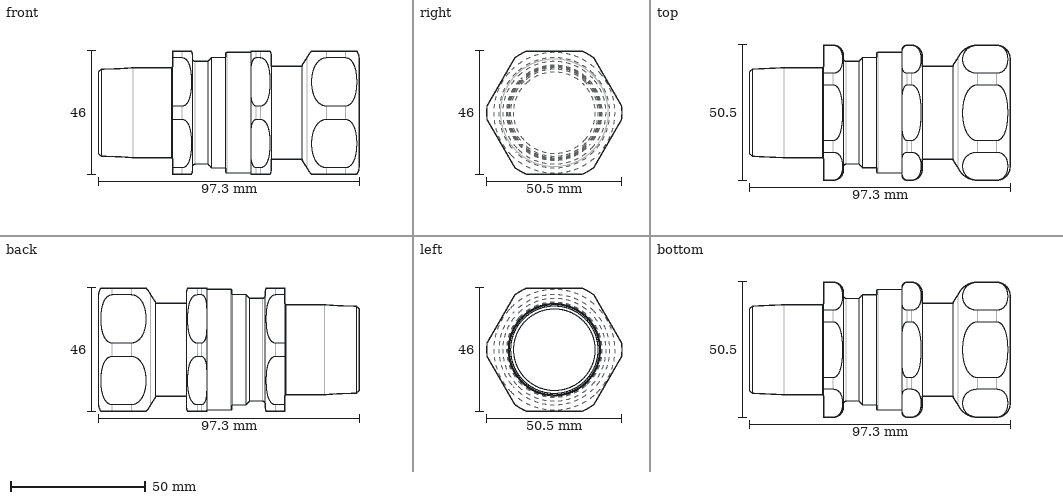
import cadquery as cq
import math


ACROSS_FLATS = 46.0
CORNER_RADIUS = 50.5 / 2

ENTRY_HEX_START = 27.7
COUPLING_START = 47.5
COUPLING_HEX_START = 56.8
SLEEVE_START = 64.5
CAP_START = 76.0
TOTAL_LENGTH = 97.25

SPIGOT_RADIUS = 33.6 / 2
SPIGOT_TIP_RADIUS = 32.6 / 2
TIP_CHAMFER = 1.1
TAPER_LENGTH = 12.9
FLARE_LENGTH = 0.5
FLARE_RADIUS = 17.2

ENTRY_HEX_LENGTH = 7.4
ENTRY_HEX_ROUND = 3.9
NECK_RADIUS = 38.4 / 2
NECK_FILLET = 1.0
NECK_END = 40.8
COLLAR_RADIUS = 41.2 / 2
COLLAR_CHAMFER = COLLAR_RADIUS - NECK_RADIUS

COUPLING_RADIUS = 45.1 / 2
COUPLING_EDGE_ROUND = 0.5
COUPLING_HEX_FRONT_ROUND = 2.0
COUPLING_HEX_BACK_ROUND = 4.1

SLEEVE_RADIUS = 34.8 / 2

CAP_FACE_RADIUS = 17.8
CAP_DOME_RADIUS = 8.0
CAP_DOME_SWEEP = math.radians(65)
CAP_CREST_START = 85.0
CAP_BACK_ROUND = 5.2


def revolve_x(profile):
    """Close an (axial, radial) profile and spin it about the X axis."""
    return profile.close().revolve(360, (0, 0, 0), (1, 0, 0))


def hexagon(start, end):
    """Hexagonal prism along X with two flats facing up and down."""
    across_corners = ACROSS_FLATS / math.cos(math.pi / 6)
    return (
        cq.Workplane("YZ")
        .workplane(offset=start)
        .polygon(6, across_corners)
        .extrude(end - start)
    )


def quarter_up(profile, x, radius, size):
    """Convex quarter round rising from a front face at x to the given radius."""
    diagonal = size * math.sqrt(0.5)
    middle = (x + size - diagonal, radius - size + diagonal)
    return profile.lineTo(x, radius - size).threePointArc(middle, (x + size, radius))


def quarter_down(profile, x, radius, size):
    """Convex quarter round falling from the given radius to a back face at x."""
    diagonal = size * math.sqrt(0.5)
    middle = (x - size + diagonal, radius - size + diagonal)
    return profile.lineTo(x - size, radius).threePointArc(middle, (x, radius - size))


def make_spigot():
    """Plain entry end: chamfered tip, slight taper, cylinder and a small flare."""
    profile = (
        cq.Workplane("XY")
        .lineTo(0, SPIGOT_TIP_RADIUS - TIP_CHAMFER)
        .lineTo(TIP_CHAMFER, SPIGOT_TIP_RADIUS)
        .lineTo(TAPER_LENGTH, SPIGOT_RADIUS)
        .lineTo(ENTRY_HEX_START - FLARE_LENGTH, SPIGOT_RADIUS)
        .lineTo(ENTRY_HEX_START, FLARE_RADIUS)
        .lineTo(ENTRY_HEX_START, 0)
    )
    return revolve_x(profile)


def make_entry_body():
    """Hexagon rounded on its back, filleted into a neck with a chamfered collar."""
    hex_end = ENTRY_HEX_START + ENTRY_HEX_LENGTH
    envelope = cq.Workplane("XY").moveTo(ENTRY_HEX_START, 0).lineTo(ENTRY_HEX_START, CORNER_RADIUS)
    envelope = quarter_down(envelope, hex_end, CORNER_RADIUS, ENTRY_HEX_ROUND).lineTo(hex_end, 0)
    wrench = hexagon(ENTRY_HEX_START, hex_end).intersect(revolve_x(envelope))

    fillet_offset = NECK_FILLET * (1 - math.sqrt(0.5))
    neck = (
        cq.Workplane("XY")
        .moveTo(hex_end, 0)
        .lineTo(hex_end, NECK_RADIUS + NECK_FILLET)
        .threePointArc(
            (hex_end + fillet_offset, NECK_RADIUS + fillet_offset),
            (hex_end + NECK_FILLET, NECK_RADIUS),
        )
        .lineTo(NECK_END, NECK_RADIUS)
        .lineTo(NECK_END + COLLAR_CHAMFER, COLLAR_RADIUS)
        .lineTo(COUPLING_START, COLLAR_RADIUS)
        .lineTo(COUPLING_START, 0)
    )
    return wrench.union(revolve_x(neck))


def make_coupling():
    """Round barrel with a hexagon rounded on both sides."""
    barrel = quarter_up(
        cq.Workplane("XY").moveTo(COUPLING_START, 0), COUPLING_START, COUPLING_RADIUS, COUPLING_EDGE_ROUND
    )
    barrel = barrel.lineTo(COUPLING_HEX_START, COUPLING_RADIUS).lineTo(COUPLING_HEX_START, 0)

    envelope = cq.Workplane("XY").moveTo(COUPLING_HEX_START, 0)
    envelope = quarter_up(envelope, COUPLING_HEX_START, CORNER_RADIUS, COUPLING_HEX_FRONT_ROUND)
    envelope = quarter_down(envelope, SLEEVE_START, CORNER_RADIUS, COUPLING_HEX_BACK_ROUND)
    envelope = envelope.lineTo(SLEEVE_START, 0)
    wrench = hexagon(COUPLING_HEX_START, SLEEVE_START).intersect(revolve_x(envelope))
    return wrench.union(revolve_x(barrel))


def make_sleeve():
    """Plain cylinder between the coupling and the cap nut."""
    return (
        cq.Workplane("YZ")
        .workplane(offset=SLEEVE_START)
        .circle(SLEEVE_RADIUS)
        .extrude(CAP_START - SLEEVE_START)
    )


def make_cap_nut():
    """Hexagonal cap with a conical, domed front and a rounded back."""
    def dome_point(angle):
        """Point on the dome where its tangent leans by angle from the axis."""
        x = CAP_CREST_START - CAP_DOME_RADIUS * math.sin(angle)
        return x, CORNER_RADIUS - CAP_DOME_RADIUS * (1 - math.cos(angle))

    envelope = (
        cq.Workplane("XY")
        .moveTo(CAP_START, 0)
        .lineTo(CAP_START, CAP_FACE_RADIUS)
        .lineTo(*dome_point(CAP_DOME_SWEEP))
        .threePointArc(dome_point(CAP_DOME_SWEEP / 2), dome_point(0))
    )
    envelope = quarter_down(envelope, TOTAL_LENGTH, CORNER_RADIUS, CAP_BACK_ROUND).lineTo(TOTAL_LENGTH, 0)
    return hexagon(CAP_START, TOTAL_LENGTH).intersect(revolve_x(envelope))


spigot = make_spigot()
entry_body = make_entry_body()
coupling = make_coupling()
sleeve = make_sleeve()
cap_nut = make_cap_nut()

result = cq.Compound.makeCompound(
    [spigot.val(), entry_body.val(), coupling.val(), sleeve.val(), cap_nut.val()]
)